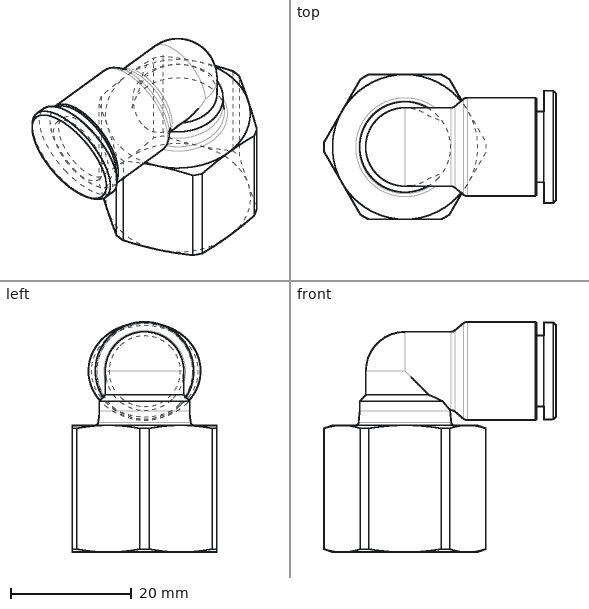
import cadquery as cq
import math


hex_across_flats = 24.0
hex_corner_radius = 13.4
hex_height = 21.0
hex_chamfer_height = 0.5

foot_radius = 7.7
foot_fillet = 0.5
taper_height = 1.92
column_radius = 7.5
column_height = 1.55
shoulder_height = 1.08

elbow_radius = 6.5
elbow_center_z = 30.0
cone_start_x = 8.0
cone_end_x = 9.92
body_radius = 8.15
body_end_x = 21.85
body_end_chamfer = 0.23
cone_blend_radius = 1.0

collar_stem_radius = 5.9
collar_start_x = 23.0
collar_end_x = 25.05
collar_half_width = 9.3
collar_half_height = 8.05
collar_chamfer = 0.45


def make_nut():
    """Hexagon with corners on X, turned down at its corners and chamfered at both ends."""
    flat_radius = hex_across_flats / 2
    sharp_corner_diameter = hex_across_flats / math.cos(math.pi / 6)
    hexagon = (
        cq.Workplane("XY")
        .polygon(6, sharp_corner_diameter)
        .extrude(hex_height)
    )
    turned_envelope = (
        cq.Workplane("XZ")
        .moveTo(0, 0)
        .lineTo(flat_radius, 0)
        .lineTo(hex_corner_radius, hex_chamfer_height)
        .lineTo(hex_corner_radius, hex_height - hex_chamfer_height)
        .lineTo(flat_radius, hex_height)
        .lineTo(0, hex_height)
        .close()
        .revolve(360, (0, 0, 0), (0, 1, 0))
    )
    return hexagon.intersect(turned_envelope)


def make_column():
    """Stepped round column from the nut face up to the elbow centre."""
    foot_top_z = hex_height + foot_fillet
    taper_top_z = foot_top_z + taper_height
    column_top_z = taper_top_z + column_height
    shoulder_top_z = column_top_z + shoulder_height
    return (
        cq.Workplane("XZ")
        .moveTo(0, hex_height)
        .lineTo(foot_radius + foot_fillet, hex_height)
        .radiusArc((foot_radius, foot_top_z), foot_fillet)
        .lineTo(column_radius, taper_top_z)
        .lineTo(column_radius, column_top_z)
        .lineTo(elbow_radius, shoulder_top_z)
        .lineTo(elbow_radius, elbow_center_z)
        .lineTo(0, elbow_center_z)
        .close()
        .revolve(360, (0, 0, 0), (0, 1, 0))
    )


def make_outlet():
    """Horizontal tube that widens through a blended cone into the outlet body."""
    outlet = (
        cq.Workplane("XY", origin=(0, 0, elbow_center_z))
        .moveTo(0, 0)
        .lineTo(0, elbow_radius)
        .lineTo(cone_start_x, elbow_radius)
        .lineTo(cone_end_x, body_radius)
        .lineTo(body_end_x, body_radius)
        .lineTo(body_end_x, 0)
        .close()
        .revolve(360, (0, 0, 0), (1, 0, 0))
    )
    outlet = outlet.faces(">X").edges().chamfer(body_end_chamfer)
    return outlet.faces("%CONE").faces("<X").edges().fillet(cone_blend_radius)


def make_collar():
    """Oval release collar on a narrower round stem."""
    stem = (
        cq.Workplane("YZ", origin=(body_end_x, 0, elbow_center_z))
        .circle(collar_stem_radius)
        .extrude(collar_start_x - body_end_x)
    )
    oval = (
        cq.Workplane("YZ", origin=(collar_start_x, 0, elbow_center_z))
        .ellipse(collar_half_width, collar_half_height)
        .extrude(collar_end_x - collar_start_x)
        .faces(">X")
        .edges()
        .chamfer(collar_chamfer)
    )
    return stem.union(oval)


elbow_ball = cq.Workplane("XY", origin=(0, 0, elbow_center_z)).sphere(elbow_radius)

result = (
    make_nut()
    .union(make_column())
    .union(elbow_ball)
    .union(make_outlet())
    .union(make_collar())
)